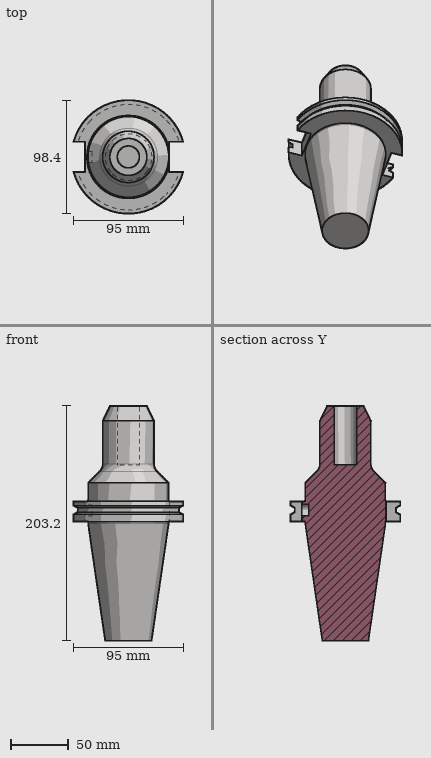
import cadquery as cq
import math

INCH = 25.4

taper_length = 4.0 * INCH
nose_z = 4.0 * INCH
flange_bottom_z = 1.5
flange_top_z = 0.75 * INCH
shoulder_z = 35.0
nose_cone_height = 13.0

gauge_radius = 2.75 * INCH / 2
taper_ratio = 7 / 24
taper_end_radius = gauge_radius - taper_length * taper_ratio / 2
flange_radius = 3.875 * INCH / 2
collar_radius = gauge_radius
neck_radius = 1.75 * INCH / 2
nose_radius = 16.0
neck_fillet = 0.375 * INCH
collar_fillet = 1.0

groove_mid_z = 11.6
groove_root_width = 3.6
groove_root_radius = 45.7
groove_flank_angle = math.radians(30)

slot_width = 1.02 * INCH
slot_floor_left = 37.7
slot_floor_right = 35.3

bore_diameter = 0.75 * INCH
bore_depth = 2.0 * INCH
dimple_diameter = 0.375 * INCH
dimple_depth = 6.0
dimple_z = groove_mid_z


def make_body():
    """Turned body: taper, flange, collar, neck and nose."""
    slope = math.radians(45)
    slope_meets_neck_z = shoulder_z + (collar_radius - neck_radius) * math.tan(slope)
    fillet_center_r = neck_radius + neck_fillet
    fillet_top_z = slope_meets_neck_z + neck_fillet * math.tan(slope / 2)

    def fillet_point(angle):
        return (
            fillet_center_r - neck_fillet * math.cos(angle),
            fillet_top_z - neck_fillet * math.sin(angle),
        )

    profile = (
        cq.Workplane("XZ")
        .moveTo(0, -taper_length)
        .lineTo(taper_end_radius, -taper_length)
        .lineTo(gauge_radius, 0)
        .lineTo(gauge_radius, flange_bottom_z)
        .lineTo(flange_radius, flange_bottom_z)
        .lineTo(flange_radius, flange_top_z)
        .lineTo(collar_radius + collar_fillet, flange_top_z)
        .radiusArc((collar_radius, flange_top_z + collar_fillet), collar_fillet)
        .lineTo(collar_radius, shoulder_z)
        .lineTo(*fillet_point(slope))
        .threePointArc(fillet_point(slope / 2), fillet_point(0))
        .lineTo(neck_radius, nose_z - nose_cone_height)
        .lineTo(nose_radius, nose_z)
        .lineTo(0, nose_z)
        .close()
    )
    return profile.revolve(360, (0, 0, 0), (0, 1, 0))


def make_groove():
    """Ring with a trapezoid section that cuts the gripper groove."""
    root_half = groove_root_width / 2
    flank_height = (flange_radius - groove_root_radius) * math.tan(groove_flank_angle)
    mouth_half = root_half + flank_height
    section = cq.Workplane("XZ").polyline([
        (groove_root_radius, groove_mid_z - root_half),
        (flange_radius, groove_mid_z - mouth_half),
        (flange_radius, groove_mid_z + mouth_half),
        (groove_root_radius, groove_mid_z + root_half),
    ]).close()
    return section.revolve(360, (0, 0, 0), (0, 1, 0))


def make_drive_slot(side, floor):
    """Slot block through the flange and collar fillet; side is -1 for -X and +1 for +X."""
    depth = flange_radius - floor
    height = flange_top_z + collar_fillet - flange_bottom_z
    return (
        cq.Workplane("XY")
        .box(depth, slot_width, height)
        .translate((side * (floor + depth / 2), 0, flange_bottom_z + height / 2))
    )


def make_bore():
    """Blind tool bore from the nose face."""
    return cq.Workplane("XY", origin=(0, 0, nose_z)).circle(bore_diameter / 2).extrude(-bore_depth)


def make_dimple():
    """Blind hole in the floor of the -X drive slot."""
    start = (-slot_floor_left, 0, dimple_z)
    return cq.Workplane("YZ", origin=start).circle(dimple_diameter / 2).extrude(dimple_depth)


result = (
    make_body()
    .cut(make_groove())
    .cut(make_drive_slot(-1, slot_floor_left))
    .cut(make_drive_slot(1, slot_floor_right))
    .cut(make_bore())
    .cut(make_dimple())
)